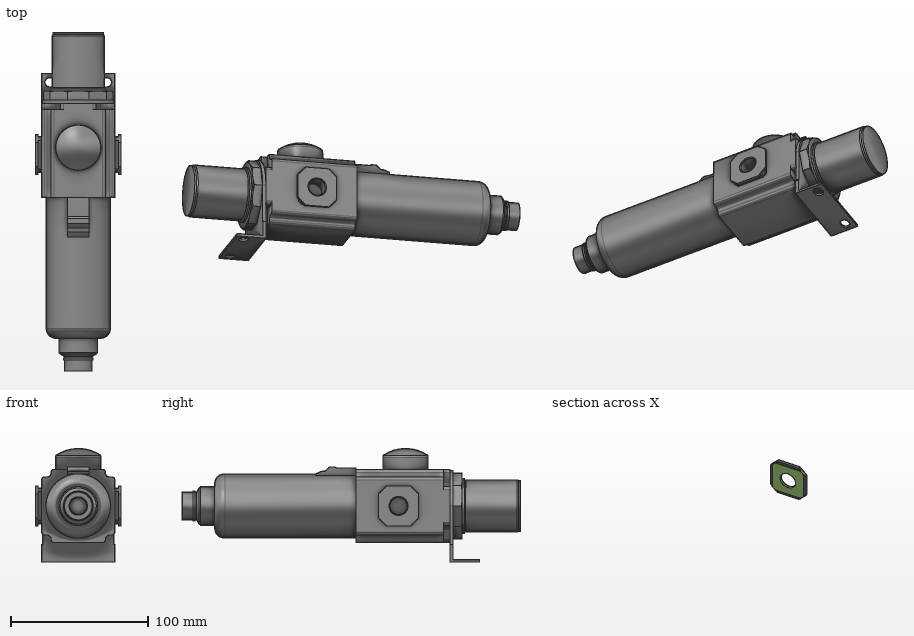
import cadquery as cq
import math


KNOB_END_Y = 89.0
KNOB_SHOULDER_Y = 87.6
KNOB_BEVEL_Y = 86.5
KNOB_BASE_Y = 48.9
COLLAR_Y = 48.0
NUT_FRONT_Y = 46.5
PLATE_FRONT_Y = 39.8
BODY_TOP_Y = 37.4
BODY_BOTTOM_Y = -31.2
BOWL_END_Y = -134.2
DRAIN_NECK_END_Y = -144.4
DRAIN_BEVEL_Y = -145.6
DRAIN_CONE_END_Y = -147.4
DRAIN_RING_START_Y = -148.4
DRAIN_RING_END_Y = -150.0
DRAIN_END_Y = -158.0

KNOB_RADIUS = 19.1
KNOB_END_RADIUS = 18.5
KNOB_NECK_RADIUS = 13.4
COLLAR_RADIUS = 20.2
NUT_SIDES = 10
NUT_CORNER_RADIUS = 25.3
NUT_CHAMFER_ANGLE = 30.0

BODY_WIDTH = 53.4
BODY_NOTCH = (19.8, 21.2)
POCKET_NOTCH = (13.1, 14.2)
POCKET_DEPTH = 4.4
CORNER_RADIUS = 2.2
NOTCH_RADIUS = 3.0

BOWL_RADIUS = 23.5
BOWL_ROUND = 7.4
DRAIN_NECK_RADIUS = 14.2
DRAIN_BEVEL_RADIUS = 13.2
DRAIN_TUBE_RADIUS = 10.1
DRAIN_RING_RADIUS = 10.8
DRAIN_BORE_RADIUS = 6.0
DRAIN_BORE_DEPTH = 12.0
BORE_CHAMFER = 0.7

LATCH_RAMP_Y = -45.3
LATCH_PEAK_START_Y = -46.6
LATCH_PEAK_END_Y = -50.4
LATCH_STEP_Y = -53.5
LATCH_LIP_Y = -56.4
LATCH_END_Y = -60.3
LATCH_WIDTH = 16.0
LATCH_ROOT_Z = 20.0
LATCH_BASE_Z = 27.8
LATCH_PEAK_Z = 28.5
LATCH_STEP_Z = 25.5
LATCH_LIP_Z = 25.3
LATCH_END_Z = 23.5

GAUGE_Y = 5.1
GAUGE_RADIUS = 16.6
GAUGE_BEVEL_Z = 35.5
GAUGE_RIM_Z = 36.9
GAUGE_RIM_RADIUS = 16.4
GAUGE_TOP_Z = 42.0

PORT_SPAN = 62.5
PORT_FLANGE_THICKNESS = 1.9
PORT_FLANGE_WIDTH = 29.2
PORT_FLANGE_CUT = 5.8
PORT_NECK_WIDTH = 26.0
PORT_NECK_CUT = 2.6
PORT_BORE_RADIUS = 6.2
PORT_BORE_DEPTH = 12.0

OVERALL_HEIGHT = 83.03
PLATE_RADIUS = 26.0
FOOT_WIDTH = BODY_WIDTH
FOOT_SHOULDER_Z = -28.1
FOOT_BOTTOM_Z = GAUGE_TOP_Z - OVERALL_HEIGHT
FOOT_THICKNESS = 1.9
FOOT_END_Y = 59.2
SLOT_X = 20.0
SLOT_Y = 52.7
SLOT_LENGTH = 8.6
SLOT_WIDTH = 6.6


def section_at(y):
    """Plane across the Y axis, with X and Z as its local axes; it extrudes toward -Y."""
    return cq.Workplane("XZ", origin=(0, y, 0))


def turned(points):
    """Solid of revolution about the Y axis from (radius, y) points."""
    return cq.Workplane("XY").polyline(points).close().revolve(360, (0, 0), (0, 1))


def octagon_plate(width, corner_cut, thickness):
    """Square plate with cut corners, from X = 0 toward +X."""
    return cq.Workplane("YZ").rect(width, width).extrude(thickness).edges("|X").chamfer(corner_cut)


def notched_prism(notch, y_start, y_end):
    """Square prism along Y whose corners are notched down to (wall X, floor Z)."""
    wall, floor = notch
    half = BODY_WIDTH / 2
    tolerance = 0.01
    wide = section_at(y_end).rect(BODY_WIDTH, 2 * floor).extrude(y_end - y_start)
    tall = section_at(y_end).rect(2 * wall, BODY_WIDTH).extrude(y_end - y_start)
    prism = wide.union(tall)

    def is_inner(edge):
        center = edge.Center()
        return abs(center.x) < half - tolerance and abs(center.z) < half - tolerance

    prism = prism.edges("|Y").filter(is_inner).fillet(NOTCH_RADIUS)

    def is_outer(edge):
        center = edge.Center()
        on_side = abs(abs(center.x) - half) < tolerance and abs(abs(center.z) - floor) < tolerance
        on_top = abs(abs(center.z) - half) < tolerance and abs(abs(center.x) - wall) < tolerance
        return on_side or on_top

    return prism.edges("|Y").filter(is_outer).fillet(CORNER_RADIUS)


def make_body():
    pocket_y = BODY_TOP_Y - POCKET_DEPTH
    main = notched_prism(BODY_NOTCH, BODY_BOTTOM_Y, pocket_y)
    return main.union(notched_prism(POCKET_NOTCH, pocket_y, BODY_TOP_Y))


def make_knob():
    return turned([
        (0, KNOB_END_Y),
        (KNOB_END_RADIUS, KNOB_END_Y),
        (KNOB_END_RADIUS, KNOB_SHOULDER_Y),
        (KNOB_RADIUS, KNOB_BEVEL_Y),
        (KNOB_RADIUS, KNOB_BASE_Y),
        (KNOB_NECK_RADIUS, KNOB_BASE_Y),
        (KNOB_NECK_RADIUS, COLLAR_Y),
        (COLLAR_RADIUS, COLLAR_Y),
        (COLLAR_RADIUS, NUT_FRONT_Y),
        (0, NUT_FRONT_Y),
    ])


def make_nut():
    height = NUT_FRONT_Y - PLATE_FRONT_Y
    nut = section_at(NUT_FRONT_Y).polygon(NUT_SIDES, 2 * NUT_CORNER_RADIUS).extrude(height)
    flat_radius = NUT_CORNER_RADIUS * math.cos(math.pi / NUT_SIDES)
    cone_rise = height * math.tan(math.radians(90 - NUT_CHAMFER_ANGLE))
    chamfer_cone = turned([
        (0, NUT_FRONT_Y),
        (flat_radius, NUT_FRONT_Y),
        (flat_radius + cone_rise, PLATE_FRONT_Y),
        (0, PLATE_FRONT_Y),
    ])
    return nut.intersect(chamfer_cone)


def make_bracket():
    thickness = PLATE_FRONT_Y - BODY_TOP_Y
    disc = section_at(PLATE_FRONT_Y).circle(PLATE_RADIUS).extrude(thickness)
    web = (
        section_at(PLATE_FRONT_Y)
        .center(0, FOOT_BOTTOM_Z / 2)
        .rect(2 * PLATE_RADIUS, -FOOT_BOTTOM_Z)
        .extrude(thickness)
    )
    lower_height = FOOT_SHOULDER_Z - FOOT_BOTTOM_Z
    lower_web = (
        section_at(PLATE_FRONT_Y)
        .center(0, FOOT_BOTTOM_Z + lower_height / 2)
        .rect(FOOT_WIDTH, lower_height)
        .extrude(thickness)
    )
    foot_length = FOOT_END_Y - BODY_TOP_Y
    foot = (
        cq.Workplane("XY", origin=(0, BODY_TOP_Y + foot_length / 2, FOOT_BOTTOM_Z))
        .rect(FOOT_WIDTH, foot_length)
        .extrude(FOOT_THICKNESS)
    )
    slots = (
        cq.Workplane("XY", origin=(0, SLOT_Y, FOOT_BOTTOM_Z))
        .pushPoints([(-SLOT_X, 0), (SLOT_X, 0)])
        .slot2D(SLOT_LENGTH, SLOT_WIDTH)
        .extrude(FOOT_THICKNESS)
    )
    return disc.union(web).union(lower_web).union(foot).cut(slots)


def make_bowl():
    length = BODY_BOTTOM_Y - BOWL_END_Y
    bowl = section_at(BODY_BOTTOM_Y).circle(BOWL_RADIUS).extrude(length)
    return bowl.faces("<Y").edges().fillet(BOWL_ROUND)


def make_drain():
    drain = turned([
        (0, BOWL_END_Y),
        (DRAIN_NECK_RADIUS, BOWL_END_Y),
        (DRAIN_NECK_RADIUS, DRAIN_NECK_END_Y),
        (DRAIN_BEVEL_RADIUS, DRAIN_BEVEL_Y),
        (DRAIN_TUBE_RADIUS, DRAIN_CONE_END_Y),
        (DRAIN_TUBE_RADIUS, DRAIN_RING_START_Y),
        (DRAIN_RING_RADIUS, DRAIN_RING_START_Y),
        (DRAIN_RING_RADIUS, DRAIN_RING_END_Y),
        (DRAIN_TUBE_RADIUS, DRAIN_RING_END_Y),
        (DRAIN_TUBE_RADIUS, DRAIN_END_Y),
        (0, DRAIN_END_Y),
    ])
    bore = turned([
        (0, DRAIN_END_Y),
        (DRAIN_BORE_RADIUS + BORE_CHAMFER, DRAIN_END_Y),
        (DRAIN_BORE_RADIUS, DRAIN_END_Y + BORE_CHAMFER),
        (DRAIN_BORE_RADIUS, DRAIN_END_Y + DRAIN_BORE_DEPTH),
        (0, DRAIN_END_Y + DRAIN_BORE_DEPTH),
    ])
    return drain.cut(bore)


def make_latch():
    profile = [
        (BODY_BOTTOM_Y, LATCH_ROOT_Z),
        (BODY_BOTTOM_Y, LATCH_BASE_Z),
        (LATCH_RAMP_Y, LATCH_BASE_Z),
        (LATCH_PEAK_START_Y, LATCH_PEAK_Z),
        (LATCH_PEAK_END_Y, LATCH_PEAK_Z),
        (LATCH_STEP_Y, LATCH_STEP_Z),
        (LATCH_LIP_Y, LATCH_LIP_Z),
        (LATCH_END_Y, LATCH_END_Z),
        (LATCH_END_Y, LATCH_ROOT_Z),
    ]
    return cq.Workplane("YZ").polyline(profile).close().extrude(LATCH_WIDTH / 2, both=True)


def make_gauge():
    dome_rise = GAUGE_TOP_Z - GAUGE_RIM_Z
    dome_radius = (GAUGE_RIM_RADIUS**2 + dome_rise**2) / (2 * dome_rise)
    half_angle = math.asin(GAUGE_RIM_RADIUS / dome_radius) / 2
    dome_mid = (
        dome_radius * math.sin(half_angle),
        GAUGE_TOP_Z - dome_radius * (1 - math.cos(half_angle)),
    )
    return (
        cq.Workplane("XZ", origin=(0, GAUGE_Y, 0))
        .lineTo(GAUGE_RADIUS, 0)
        .lineTo(GAUGE_RADIUS, GAUGE_BEVEL_Z)
        .lineTo(GAUGE_RIM_RADIUS, GAUGE_RIM_Z)
        .threePointArc(dome_mid, (0, GAUGE_TOP_Z))
        .close()
        .revolve(360, (0, 0), (0, 1))
    )


def make_port():
    """Octagonal port boss on the +X side."""
    neck_end = PORT_SPAN / 2 - PORT_FLANGE_THICKNESS
    neck = octagon_plate(PORT_NECK_WIDTH, PORT_NECK_CUT, neck_end)
    flange = octagon_plate(PORT_FLANGE_WIDTH, PORT_FLANGE_CUT, PORT_FLANGE_THICKNESS)
    return neck.union(flange.translate((neck_end, 0, 0)))


def make_port_bore():
    """Blind port bore on the +X side, chamfered at its mouth."""
    mouth = PORT_SPAN / 2
    profile = [
        (mouth, 0),
        (mouth, PORT_BORE_RADIUS + BORE_CHAMFER),
        (mouth - BORE_CHAMFER, PORT_BORE_RADIUS),
        (mouth - PORT_BORE_DEPTH, PORT_BORE_RADIUS),
        (mouth - PORT_BORE_DEPTH, 0),
    ]
    return cq.Workplane("XY").polyline(profile).close().revolve(360, (0, 0), (1, 0))


result = make_body()
for make_piece in (make_knob, make_nut, make_bracket, make_bowl, make_drain, make_latch, make_gauge):
    result = result.union(make_piece())
for side_angle in (0, 180):
    result = result.union(make_port().rotate((0, 0, 0), (0, 0, 1), side_angle))
    result = result.cut(make_port_bore().rotate((0, 0, 0), (0, 0, 1), side_angle))